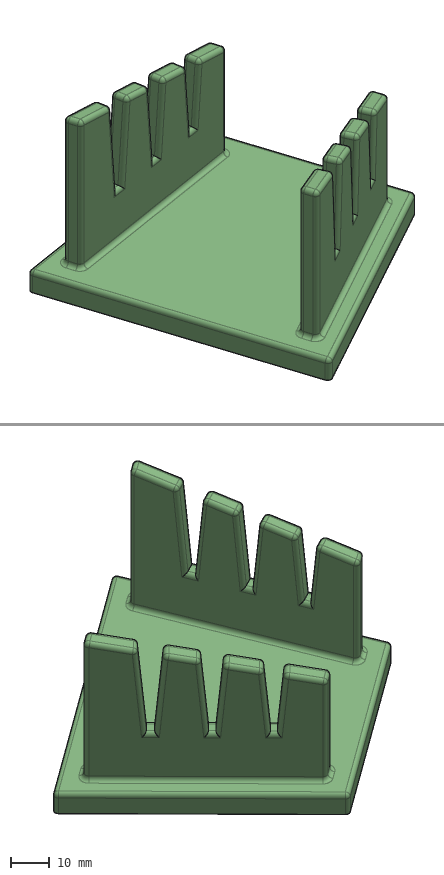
import cadquery as cq
import math

overall_width = 86.8
base_depth = 75.25
base_height = 6.7
edge_radius = 1.3
side_angle = 10.0

wall_thickness = 5.2
wall_side_margin = 5.6
wall_end_margin = base_height
overall_height = 53.4
top_angle = 11.9

slot_floor_height = 22.6
slot_half_angle = 4.8
slot_pitch = 15.9
rear_slot_offset = 17.3
slot_floor_widths = (1.8, 1.9, 2.2)


def sharp_corner_excess(lean):
    """How far a sharp corner overshoots its rounding, for two faces leaning apart from square."""
    angle = math.radians(lean)
    return edge_radius * ((1 + math.sin(angle)) / math.cos(angle) - 1)


side_sin = math.sin(math.radians(side_angle))
side_cos = math.cos(math.radians(side_angle))
side_tan = math.tan(math.radians(side_angle))

front_half_width = overall_width / 2 + sharp_corner_excess(side_angle)
back_half_width = front_half_width - base_depth * side_tan
mean_half_width = (front_half_width + back_half_width) / 2

wall_depth = base_depth - 2 * wall_end_margin
wall_center_x = -mean_half_width + (wall_side_margin + wall_thickness / 2) / side_cos
wall_front_height = overall_height + sharp_corner_excess(top_angle)
wall_back_height = wall_front_height - wall_depth * math.tan(math.radians(top_angle))

wall_plane = cq.Plane(
    origin=(wall_center_x, 0, 0),
    xDir=(side_sin, side_cos, 0),
    normal=(side_cos, -side_sin, 0),
)


def make_base():
    half_depth = base_depth / 2
    outline = [
        (-front_half_width, -half_depth),
        (front_half_width, -half_depth),
        (back_half_width, half_depth),
        (-back_half_width, half_depth),
    ]
    base = cq.Workplane("XY").polyline(outline).close().extrude(base_height)
    return base.edges("|Z or >Z").fillet(edge_radius)


def make_wall_blank():
    slab = (
        cq.Workplane(wall_plane)
        .center(0, overall_height / 2)
        .rect(2 * wall_depth, 2 * overall_height)
        .extrude(wall_thickness / 2, both=True)
    )
    half_depth = wall_depth / 2
    profile = (
        cq.Workplane("YZ")
        .polyline([
            (-half_depth, base_height),
            (half_depth, base_height),
            (half_depth, wall_back_height),
            (-half_depth, wall_front_height),
        ])
        .close()
        .extrude(overall_width, both=True)
    )
    return slab.intersect(profile)


def make_slot(position, floor_width):
    half_floor = floor_width / 2
    rise = wall_front_height - slot_floor_height
    half_top = half_floor + rise * math.tan(math.radians(slot_half_angle))
    return (
        cq.Workplane(wall_plane)
        .polyline([
            (position - half_floor, slot_floor_height),
            (position + half_floor, slot_floor_height),
            (position + half_top, wall_front_height),
            (position - half_top, wall_front_height),
        ])
        .close()
        .extrude(wall_thickness, both=True)
    )


def round_wall(wall):
    """Round every edge but the foot and the inner corners of the slot floors."""
    direction_tolerance = 0.01

    def is_rounded(edge):
        center = edge.Center()
        on_foot = center.z < base_height + edge_radius / 2
        on_slot_floor = abs(center.z - slot_floor_height) < edge_radius / 2
        across_wall = edge.tangentAt(0).cross(wall_plane.zDir).Length < direction_tolerance
        return not on_foot and not (on_slot_floor and across_wall)

    return wall.edges().filter(is_rounded).fillet(edge_radius)


def make_left_wall():
    wall = make_wall_blank()
    for index, floor_width in enumerate(slot_floor_widths):
        position = rear_slot_offset - index * slot_pitch
        wall = wall.cut(make_slot(position, floor_width))
    return round_wall(wall)


def fillet_feet(body):
    """Blend the walls into the base: their feet are the inner outlines of its top face."""
    base_top = body.faces(cq.selectors.NearestToPointSelector((0, 0, base_height))).val()
    foot_edges = [edge for foot in base_top.innerWires() for edge in foot.Edges()]
    return body.newObject(foot_edges).fillet(edge_radius)


left_wall = make_left_wall()
right_wall = left_wall.mirror("YZ")
result = fillet_feet(make_base().union(left_wall).union(right_wall))